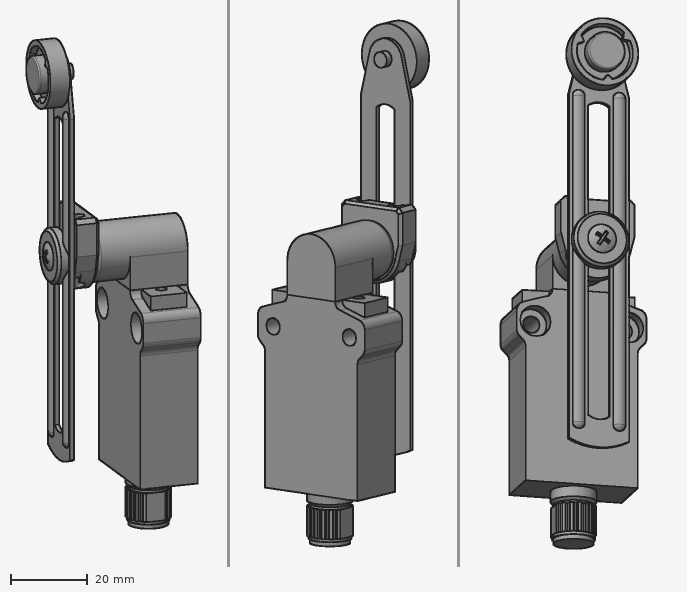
import cadquery as cq
import math


overall_height = 133.8

housing_width = 30.4
housing_depth = 16.0
housing_top = 52.0
neck_width = 15.8
ear_span = 35.0
ear_top_corner = 47.5
ear_bottom_corner = 39.5
shoulder_rise = 3.0
ear_top_radius = 2.4
ear_bottom_radius = 2.1
neck_fillet = 2.0
lamp_block_depth = 10.0
lamp_diameter = 3.0
lamp_recess_depth = 1.3
lamp_spacing = 19.0
mount_spacing = 25.0
mount_height = 43.1
mount_hole_diameter = 4.4
mount_counterbore_diameter = 8.2
mount_counterbore_depth = 4.0
mid_depth = -housing_depth / 2

axis_height = 61.1
barrel_end = -25.3
barrel_taper_length = 1.2
barrel_taper = 0.3

flange_diameter = 12.0
neck_diameter = 10.6
flange_height = 2.8
flange_taper_end = 3.6
nut_start = 4.3
nut_end = 12.0
nut_collar_end = 12.8
nut_collar_diameter = 11.2
connector_length = 14.0
nut_flats_width = 10.8
flute_count = 18
flute_depth = 0.4
flute_half_width = 0.7
flute_floor_half_width = 0.3

hub_width = 20.0
hub_top = 73.0
hub_side_end = 63.3
hub_round_radius = 9.1
hub_corner_chamfer = 1.2
hub_back_chamfer = 0.8
hub_channel_width = 16.3
hub_channel_face = -30.0
hub_groove_floor = -28.0
hub_groove_offset = 5.5
hub_groove_width = 3.2
hub_round_groove_diameter = 3.0
locating_pin_diameter = 2.5
locating_pin_drop = 5.1

arm_back = -31.7
arm_thickness = 1.2
arm_front = arm_back - arm_thickness
arm_width = 16.2
arm_shoulder = 100.4
arm_tip_radius = 5.4
arm_bottom = 5.8
arm_bottom_corner = 7.8
slot_width = 5.9
slot_bottom = 13.2
slot_top = 98.6
slot_end_rise = 1.1
rib_width = 3.3
rib_height = 1.0
rib_bottom = 10.5
rib_top = 101.5
rib_offset = 5.5

roller_diameter = 18.0
roller_height = overall_height - connector_length - roller_diameter / 2
roller_back = -33.3
roller_front = -38.7
recess_rim_diameter = 15.1
recess_floor_diameter = 14.3
recess_depth = 1.7
tooth_tip_radius = 6.2
tooth_count = 3
tooth_angle = 37
pin_diameter = 4.1
pin_back = -29.6
pin_front = -40.3
pin_head_diameter = 10.0
pin_head_fillet = 0.4

collar_diameter = 14.9
collar_front = -35.9
collar_chamfer = 0.8
dome_diameter = 7.6
dome_height = 1.2
shank_diameter = 5.0
shank_end = -27.4
cross_length = 4.0
cross_width = 0.8
cross_depth = 1.0
cross_angle = 57


def front_plane(depth=0.0):
    """Sketch plane with local x = X and local y = Z; extrusions run towards -Y."""
    return cq.Workplane("XZ", origin=(0, depth, 0))


def rod(diameter, start, end, x, z):
    """Cylinder along Y from `start` forwards to `end`."""
    return front_plane(start).center(x, z).circle(diameter / 2).extrude(start - end)


def cone(start_diameter, end_diameter, start, end, z):
    """Truncated cone along Y from `start` forwards to `end`, centred on X = 0."""
    return (
        front_plane(start).center(0, z).circle(start_diameter / 2)
        .workplane(offset=start - end).circle(end_diameter / 2).loft()
    )


def box_between(x0, x1, y0, y1, z0, z1):
    """Box given by its limits along X, Y and Z."""
    box = cq.Workplane("XY").box(x1 - x0, y1 - y0, z1 - z0, centered=False)
    return box.translate((x0, y0, z0))


def rounded_corner(body, x, z, radius):
    """Fillet the edges along Y at (x, z) and (-x, z)."""
    for side in (-1, 1):
        nearest = cq.selectors.NearestToPointSelector((side * x, mid_depth, z))
        body = body.edges("|Y").edges(nearest).fillet(radius)
    return body


def make_housing():
    side = housing_width / 2
    ear = ear_span / 2
    neck = neck_width / 2
    ear_foot = ear_bottom_corner - (ear - side)
    shoulder_top = ear_top_corner + shoulder_rise
    right_half = [
        (side, 0),
        (side, ear_foot),
        (ear, ear_bottom_corner),
        (ear, ear_top_corner),
        (neck, shoulder_top),
        (neck, housing_top),
    ]
    left_half = [(-x, z) for x, z in reversed(right_half)]
    body = front_plane().polyline(right_half + left_half).close().extrude(housing_depth)
    body = rounded_corner(body, side, ear_foot, ear_bottom_radius)
    body = rounded_corner(body, ear, ear_bottom_corner, ear_bottom_radius)
    body = rounded_corner(body, ear, ear_top_corner, ear_top_radius)
    body = rounded_corner(body, neck, shoulder_top, neck_fillet)

    half_block = lamp_block_depth / 2
    body = body.union(box_between(
        -side, side, mid_depth - half_block, mid_depth + half_block, mount_height, housing_top
    ))
    for sign in (-1, 1):
        lamp = (
            cq.Workplane("XY", origin=(sign * lamp_spacing / 2, mid_depth, housing_top))
            .circle(lamp_diameter / 2)
            .extrude(-lamp_recess_depth)
        )
        x = sign * mount_spacing / 2
        hole = rod(mount_hole_diameter, 0, -housing_depth, x, mount_height)
        counterbore = rod(
            mount_counterbore_diameter,
            mount_counterbore_depth - housing_depth, -housing_depth, x, mount_height,
        )
        body = body.cut(lamp).cut(hole).cut(counterbore)
    return body


def make_head():
    radius = neck_width / 2
    block = box_between(-radius, radius, -housing_depth, 0, housing_top, axis_height)
    taper_start = barrel_end + barrel_taper_length
    barrel = rod(neck_width, 0, taper_start, 0, axis_height)
    tip = cone(neck_width, neck_width - 2 * barrel_taper, taper_start, barrel_end, axis_height)
    below = box_between(-radius, radius, -housing_depth, 0, 0, housing_top)
    return block.union(barrel).union(tip).cut(below)


def make_connector():
    profile = [
        (0, 0),
        (flange_diameter / 2, 0),
        (flange_diameter / 2, -flange_height),
        (neck_diameter / 2, -flange_taper_end),
        (neck_diameter / 2, -nut_start),
        (flange_diameter / 2, -nut_start),
        (flange_diameter / 2, -nut_end),
        (nut_collar_diameter / 2, -nut_end),
        (nut_collar_diameter / 2, -nut_collar_end),
        (neck_diameter / 2, -nut_collar_end),
        (neck_diameter / 2, -connector_length),
        (0, -connector_length),
    ]
    body = cq.Workplane("XZ").polyline(profile).close().revolve(360, (0, 0), (0, 1))

    half_flats = nut_flats_width / 2
    radius = flange_diameter / 2
    for sign in (-1, 1):
        x0, x1 = sorted((sign * half_flats, sign * flange_diameter))
        body = body.cut(box_between(x0, x1, -radius, radius, -nut_end, -nut_start))

    flute = (
        cq.Workplane("XY", origin=(0, 0, -nut_end))
        .polyline([
            (radius - flute_depth, -flute_floor_half_width),
            (radius, -flute_half_width),
            (flange_diameter, -flute_half_width),
            (flange_diameter, flute_half_width),
            (radius, flute_half_width),
            (radius - flute_depth, flute_floor_half_width),
        ])
        .close()
        .extrude(nut_end - nut_start)
    )
    pitch = 360 / flute_count
    flat_half_angle = math.degrees(math.acos(half_flats / radius))
    for i in range(flute_count):
        angle = 90 + (i + 0.5) * pitch
        angle_from_flat = abs((angle + 90) % 180 - 90)
        if angle_from_flat > flat_half_angle:
            body = body.cut(flute.rotate((0, 0, 0), (0, 0, 1), angle))
    return body.translate((0, mid_depth, 0))


def make_hub():
    half = hub_width / 2
    rise = hub_side_end - axis_height
    reach = math.hypot(half, rise)
    tangent_angle = math.atan2(rise, half) - math.acos(hub_round_radius / reach)
    tangent_x = hub_round_radius * math.cos(tangent_angle)
    tangent_z = axis_height + hub_round_radius * math.sin(tangent_angle)
    cut = hub_corner_chamfer
    body = (
        front_plane(barrel_end)
        .moveTo(-half + cut, hub_top)
        .lineTo(half - cut, hub_top)
        .lineTo(half, hub_top - cut)
        .lineTo(half, hub_side_end)
        .lineTo(tangent_x, tangent_z)
        .threePointArc((0, axis_height - hub_round_radius), (-tangent_x, tangent_z))
        .lineTo(-half, hub_side_end)
        .lineTo(-half, hub_top - cut)
        .close()
        .extrude(barrel_end - arm_back)
        .faces(">Y").edges().chamfer(hub_back_chamfer)
    )

    half_channel = hub_channel_width / 2
    channel = box_between(-half_channel, half_channel, arm_back, hub_channel_face, 0, hub_top)
    half_groove = hub_groove_width / 2
    square_groove = box_between(
        -hub_groove_offset - half_groove, -hub_groove_offset + half_groove,
        arm_back, hub_groove_floor, 0, hub_top,
    )
    groove_radius = hub_round_groove_diameter / 2
    groove_axis = hub_groove_floor - groove_radius
    round_groove = (
        cq.Workplane("XY").center(hub_groove_offset, groove_axis)
        .circle(groove_radius).extrude(hub_top)
    ).union(box_between(
        hub_groove_offset - groove_radius, hub_groove_offset + groove_radius,
        arm_back, groove_axis, 0, hub_top,
    ))
    body = body.cut(channel).cut(square_groove).cut(round_groove)

    locating_pin = rod(
        locating_pin_diameter, hub_channel_face, arm_front, 0, axis_height - locating_pin_drop
    )
    screw_hole = rod(shank_diameter, shank_end, arm_back, 0, axis_height)
    return body.union(locating_pin).cut(screw_hole)


def make_ribs():
    """Two shallow round-backed ribs with ball-shaped ends, standing on the front of the arm."""
    radius = ((rib_width / 2) ** 2 + rib_height ** 2) / (2 * rib_height)
    axis_depth = arm_front - rib_height + radius
    end_inset = rib_width / 2
    lower = rib_bottom + end_inset
    upper = rib_top - end_inset
    behind = box_between(-arm_width, arm_width, arm_front, 0, 0, roller_height)
    ribs = []
    for x in (-rib_offset, rib_offset):
        rib = cq.Workplane("XY", origin=(x, axis_depth, lower)).circle(radius).extrude(upper - lower)
        for z in (lower, upper):
            rib = rib.union(cq.Workplane("XY").sphere(radius).translate((x, axis_depth, z)))
        ribs.append(rib.cut(behind))
    return ribs


def make_arm(ribs):
    half = arm_width / 2
    drop = roller_height - arm_shoulder
    reach = math.hypot(half, drop)
    tangent_angle = math.acos(arm_tip_radius / reach) - math.atan2(drop, half)
    tangent_x = arm_tip_radius * math.cos(tangent_angle)
    tangent_z = roller_height + arm_tip_radius * math.sin(tangent_angle)
    body = (
        front_plane(arm_back)
        .moveTo(half, arm_bottom_corner)
        .lineTo(half, arm_shoulder)
        .lineTo(tangent_x, tangent_z)
        .threePointArc((0, roller_height + arm_tip_radius), (-tangent_x, tangent_z))
        .lineTo(-half, arm_shoulder)
        .lineTo(-half, arm_bottom_corner)
        .threePointArc((0, arm_bottom), (half, arm_bottom_corner))
        .close()
        .extrude(arm_thickness)
    )
    half_slot = slot_width / 2
    slot = (
        front_plane(arm_back)
        .moveTo(half_slot, slot_bottom + slot_end_rise)
        .lineTo(half_slot, slot_top - slot_end_rise)
        .threePointArc((0, slot_top), (-half_slot, slot_top - slot_end_rise))
        .lineTo(-half_slot, slot_bottom + slot_end_rise)
        .threePointArc((0, slot_bottom), (half_slot, slot_bottom + slot_end_rise))
        .close()
        .extrude(arm_thickness)
    )
    body = body.cut(slot).cut(rod(pin_diameter, arm_back, arm_front, 0, roller_height))
    for rib in ribs:
        body = body.union(rib)
    return body


def make_roller():
    body = rod(roller_diameter, roller_back, roller_front, 0, roller_height)
    floor = roller_front + recess_depth
    recess = cone(recess_floor_diameter, recess_rim_diameter, floor, roller_front, roller_height)
    spread = roller_diameter / 2 - tooth_tip_radius
    tooth = (
        front_plane(floor)
        .polyline([
            (tooth_tip_radius, 0),
            (tooth_tip_radius + spread, spread),
            (tooth_tip_radius + spread, -spread),
        ])
        .close()
        .extrude(recess_depth)
    )
    for i in range(tooth_count):
        angle = tooth_angle + i * 360 / tooth_count
        turned = tooth.rotate((0, 0, 0), (0, 1, 0), -angle)
        recess = recess.cut(turned.translate((0, 0, roller_height)))
    return body.cut(recess).cut(rod(pin_diameter, roller_back, floor, 0, roller_height))


def make_pin():
    floor = roller_front + recess_depth
    head = rod(pin_head_diameter, floor, pin_front, 0, 0).faces("<Y").edges().fillet(pin_head_fillet)
    shaft = rod(pin_diameter, pin_back, floor, 0, 0)
    return head.union(shaft).translate((0, 0, roller_height))


def make_screw(ribs):
    collar = rod(collar_diameter, arm_front, collar_front, 0, 0).faces("<Y").chamfer(collar_chamfer)
    dome_radius = ((dome_diameter / 2) ** 2 + dome_height ** 2) / (2 * dome_height)
    dome_front = collar_front - dome_height
    dome = (
        cq.Workplane("XY").sphere(dome_radius)
        .translate((0, dome_front + dome_radius, 0))
        .intersect(rod(dome_diameter, collar_front, dome_front, 0, 0))
    )
    bar = front_plane(dome_front + cross_depth).rect(cross_length, cross_width).extrude(cross_depth)
    cross = bar.union(bar.rotate((0, 0, 0), (0, 1, 0), 90)).rotate((0, 0, 0), (0, 1, 0), -cross_angle)
    shank = rod(shank_diameter, shank_end, arm_front, 0, 0)
    body = collar.union(dome).cut(cross).union(shank).translate((0, 0, axis_height))
    for rib in ribs:
        body = body.cut(rib)
    return body


arm_ribs = make_ribs()
housing = make_housing()
head = make_head()
connector = make_connector()
hub = make_hub()
arm = make_arm(arm_ribs)
roller = make_roller()
roller_pin = make_pin()
screw = make_screw(arm_ribs)

result = cq.Compound.makeCompound([
    housing.val(),
    head.val(),
    connector.val(),
    hub.val(),
    arm.val(),
    roller.val(),
    roller_pin.val(),
    screw.val(),
])